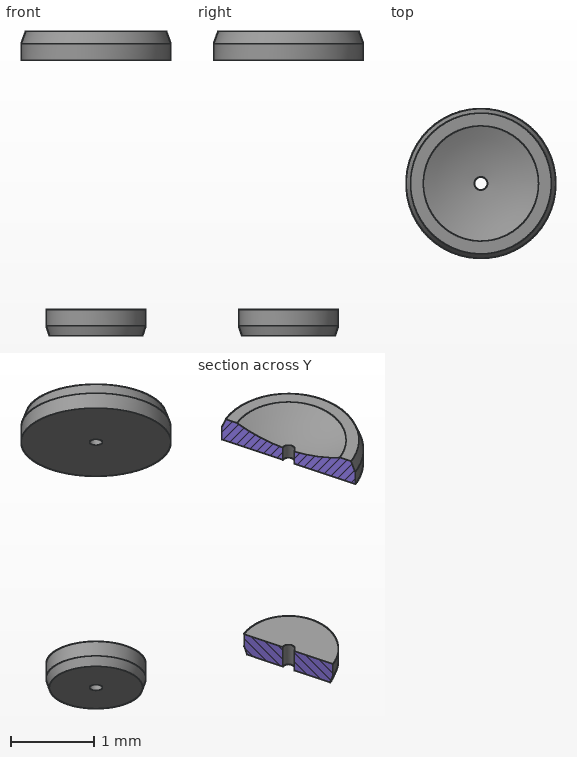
import cadquery as cq
import math

overall_height = 3.66
hole_radius = 0.077

upper_radius = 0.9
upper_thickness = 0.35
upper_rim_height = 0.2
upper_face_radius = 0.845
cup_radius = 0.69
cup_depth = 0.15

lower_radius = 0.6
lower_thickness = 0.32
lower_bevel_height = 0.12
lower_face_radius = 0.56


def make_upper_jewel():
    """Revolve the ring-shaped half section, with the cup as an arc centred on the axis."""
    bottom = overall_height - upper_thickness
    top = overall_height
    sphere_radius = (cup_radius**2 + cup_depth**2) / (2 * cup_depth)
    sphere_center = top - cup_depth + sphere_radius

    def cup_point(radius):
        return (radius, sphere_center - math.sqrt(sphere_radius**2 - radius**2))

    middle_radius = (cup_radius + hole_radius) / 2
    return (
        cq.Workplane("XZ")
        .moveTo(hole_radius, bottom)
        .lineTo(upper_radius, bottom)
        .lineTo(upper_radius, bottom + upper_rim_height)
        .lineTo(upper_face_radius, top)
        .lineTo(cup_radius, top)
        .threePointArc(cup_point(middle_radius), cup_point(hole_radius))
        .close()
        .revolve(360, (0, 0), (0, 1))
    )


def make_lower_jewel():
    """Revolve the half section of the plain pierced disc."""
    return (
        cq.Workplane("XZ")
        .moveTo(hole_radius, 0)
        .lineTo(lower_face_radius, 0)
        .lineTo(lower_radius, lower_bevel_height)
        .lineTo(lower_radius, lower_thickness)
        .lineTo(hole_radius, lower_thickness)
        .close()
        .revolve(360, (0, 0), (0, 1))
    )


upper_jewel = make_upper_jewel()
lower_jewel = make_lower_jewel()

result = cq.Compound.makeCompound([upper_jewel.val(), lower_jewel.val()])